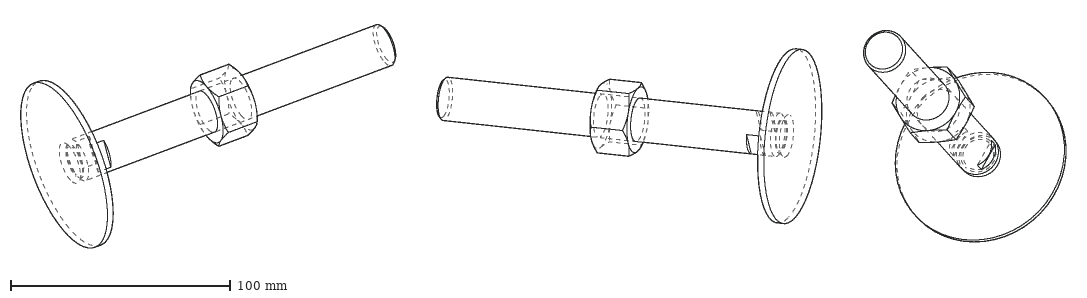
import cadquery as cq
import math

overall_length = 169.0

plate_diameter = 80.0
plate_thickness = 3.0
neck_base_radius = 9.8
neck_height = 2.5
neck_top_radius = neck_base_radius - neck_height

rod_diameter = 20.0
rod_radius = rod_diameter / 2
rod_start = plate_thickness + neck_height
rod_length = overall_length - rod_start
rod_foot_chamfer = 1.7
rod_end_chamfer = 1.2

flat_start = 12.2
flat_length = 6.8
across_wrench_flats = 15.0
flat_rotation = 30.0

nut_start = 74.9
nut_length = 17.9
nut_across_flats = 30.0
nut_corner_radius = nut_across_flats / math.sqrt(3)
nut_chamfer_angle = 30.0


def plane_at(y):
    """Plane across the axis at height y, with X right, Z up and extrusion along +Y."""
    return cq.Plane(origin=(0, y, 0), xDir=(1, 0, 0), normal=(0, 1, 0))


def revolve_about_y(points):
    """Revolve a closed (radius, Y) outline around the Y axis."""
    return cq.Workplane("XY").polyline(points).close().revolve(360, (0, 0), (0, 1))


def make_plate():
    return revolve_about_y([
        (0, 0),
        (plate_diameter / 2, 0),
        (plate_diameter / 2, plate_thickness),
        (neck_base_radius, plate_thickness),
        (neck_top_radius, rod_start),
        (0, rod_start),
    ])


def make_wrench_flat_cutter():
    """Two blocks that leave the width across the flats between them."""
    block_centre = across_wrench_flats / 2 + rod_radius / 2
    return (
        cq.Workplane(plane_at(flat_start))
        .pushPoints([(-block_centre, 0), (block_centre, 0)])
        .rect(rod_radius, rod_diameter)
        .extrude(flat_length)
        .rotate((0, 0, 0), (0, 1, 0), -flat_rotation)
    )


def make_rod():
    rod = cq.Workplane(plane_at(rod_start)).circle(rod_radius).extrude(rod_length)
    rod = rod.faces("<Y").chamfer(rod_foot_chamfer)
    rod = rod.faces(">Y").chamfer(rod_end_chamfer)
    return rod.cut(make_wrench_flat_cutter())


def make_nut():
    hexagon = (
        cq.Workplane(plane_at(nut_start))
        .polygon(6, 2 * nut_corner_radius)
        .circle(rod_radius)
        .extrude(nut_length)
    )
    rim_radius = nut_across_flats / 2
    corner_drop = (nut_corner_radius - rim_radius) * math.tan(math.radians(nut_chamfer_angle))
    nut_end = nut_start + nut_length
    corner_envelope = revolve_about_y([
        (0, nut_start),
        (rim_radius, nut_start),
        (nut_corner_radius, nut_start + corner_drop),
        (nut_corner_radius, nut_end - corner_drop),
        (rim_radius, nut_end),
        (0, nut_end),
    ])
    return hexagon.intersect(corner_envelope)


plate = make_plate()
rod = make_rod()
nut = make_nut()

result = cq.Compound.makeCompound([plate.val(), rod.val(), nut.val()])